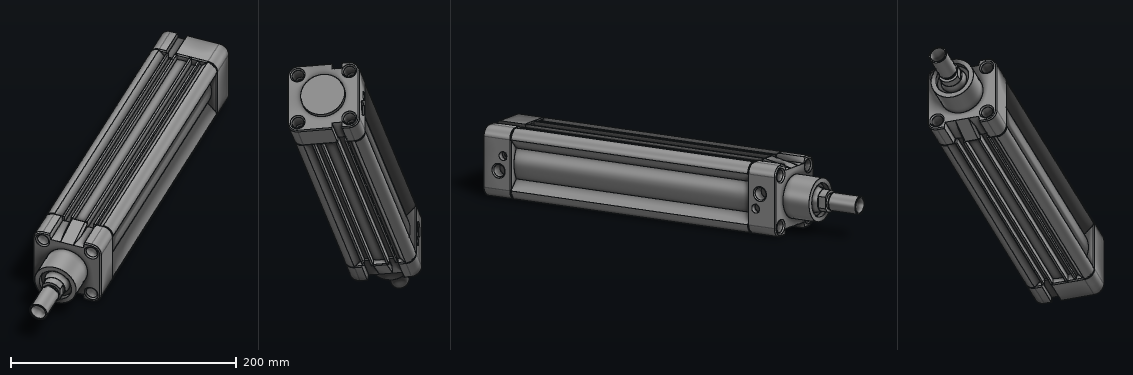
import cadquery as cq
import math


SIDE = 65.0
HALF = SIDE / 2
HOLE_SPACING = 46.5
HOLE_POS = HOLE_SPACING / 2
CORNER_R = HALF - HOLE_POS
BODY_LEN = 306.0
CAP_LEN = 29.0
CAP_CHAMFER = 1.0
TUBE_START = CAP_LEN
TUBE_END = BODY_LEN - CAP_LEN

BOSS_D = 39.7
BOSS_LEN = 27.2
BOSS_RECESS_D = 30.5
BOSS_RECESS_DEPTH = 5.0
COLLAR_LEN = 4.0
WIPER_BASE_D = 24.0
WIPER_TIP_D = 20.5
WIPER_STICK_OUT = 2.5

BARREL_R = 27.2
VALLEY_X = 17.8
VALLEY_Z = 27.0
LIP_X = 14.0
LIP_WIDTH = 2.0
LIP_FOOT_Z = 28.5
LIP_Z = 31.5
SLOT_FLOOR = 25.0
RIB_OUTER_X = 8.0
RIB_INNER_X = 6.0

RECESS_FLOOR = 27.0
RECESS_TOP_X = 16.5
RECESS_FLOOR_X = 15.5
RAMP_TOP_X = 6.0
RAMP_SIDE_X = 8.0
RAMP_EDGE_ANGLE = 35
REAR_BLOCK_X = 7.5

MOUNT_HOLE_D = 6.8
MOUNT_BORE_D = 10.5
MOUNT_MOUTH_D = 13.2
MOUNT_BORE_DEPTH = 15.0

PORT_D = 11.5
PORT_MOUTH_D = 13.5
PORT_DEPTH = 11.5
PORT_OFFSET = 16.3
PORT_Z = 6.5
SCREW_D = 8.0
SCREW_DEPTH = 5.5
SCREW_OFFSET = 20.8
SCREW_Z = 7.5
SCREW_SOCKET_D = 3.5
SCREW_SOCKET_DEPTH = 2.0

ROD_D = 20.0
ROD_STICK_OUT = 68.0
THREAD_D = 16.5
THREAD_LEN = 28.0
THREAD_BORE_D = 14.0
THREAD_BORE_DEPTH = 19.0
NECK_D = 14.7
NECK_LEN = 2.5
FLATS_WIDTH = 17.0
FLATS_LEN = 7.0


def xz_plane(y):
    """Section plane across the axis at y, facing -Y; sketches use X and Z."""
    return cq.Workplane(cq.Plane(origin=(0, y, 0), xDir=(1, 0, 0), normal=(0, -1, 0)))


def cylinder(diameter, y_start, y_end, x=0, z=0):
    return xz_plane(y_start).center(x, z).circle(diameter / 2).extrude(y_start - y_end)


def prism(points, y_start, y_end):
    return xz_plane(y_start).polyline(points).close().extrude(y_start - y_end)


def rounded_square(y_start, y_end):
    block = xz_plane(y_start).rect(SIDE, SIDE).extrude(y_start - y_end)
    return block.edges("|Y").fillet(CORNER_R)


def with_mirror(shape, plane):
    return shape.union(shape.mirror(plane))


def tube():
    """Extruded profile with a channel along every side."""
    slot = prism(
        [
            (HOLE_POS, HALF),
            (VALLEY_X, VALLEY_Z),
            (LIP_X + LIP_WIDTH, LIP_FOOT_Z),
            (LIP_X + LIP_WIDTH, LIP_Z),
            (LIP_X, LIP_Z),
            (LIP_X, SLOT_FLOOR),
            (RIB_OUTER_X, SLOT_FLOOR),
            (RIB_OUTER_X, HALF),
        ],
        TUBE_START,
        TUBE_END,
    )
    channel_depth = HALF - BARREL_R / 2
    barrel = cylinder(2 * BARREL_R, TUBE_START, TUBE_END)
    side_channel = prism(
        [
            (HALF, HOLE_POS),
            (HALF - channel_depth, HOLE_POS - channel_depth),
            (HALF - channel_depth, channel_depth - HOLE_POS),
            (HALF, -HOLE_POS),
        ],
        TUBE_START,
        TUBE_END,
    ).cut(barrel)
    middle_channel = prism(
        [
            (-RIB_INNER_X, HALF),
            (-RIB_INNER_X, HALF - channel_depth),
            (RIB_INNER_X, HALF - channel_depth),
            (RIB_INNER_X, HALF),
        ],
        TUBE_START,
        TUBE_END,
    ).cut(barrel)
    upper_channels = with_mirror(slot, "YZ").union(middle_channel)
    profile = rounded_square(TUBE_START, TUBE_END)
    profile = profile.cut(with_mirror(upper_channels, "XY"))
    return profile.cut(with_mirror(side_channel, "YZ"))


def cap(y_start):
    return rounded_square(y_start, y_start + CAP_LEN).faces("<Y or >Y").chamfer(CAP_CHAMFER)


def front_cap():
    """Cap with a recess above and below, each holding a wedge that rises towards the tube."""
    recess = prism(
        [
            (-RECESS_TOP_X, HALF),
            (-RECESS_FLOOR_X, RECESS_FLOOR),
            (RECESS_FLOOR_X, RECESS_FLOOR),
            (RECESS_TOP_X, HALF),
        ],
        0,
        CAP_LEN,
    )
    rise = HALF - RECESS_FLOOR
    ramp_profile = (
        cq.Workplane("YZ")
        .polyline([(0, RECESS_FLOOR), (CAP_LEN, RECESS_FLOOR), (CAP_LEN, HALF)])
        .close()
        .extrude(RAMP_SIDE_X, both=True)
    )
    ramp_plane = cq.Plane(origin=(0, 0, RECESS_FLOOR), xDir=(1, 0, 0), normal=(0, rise, -CAP_LEN))
    ramp_length = math.hypot(CAP_LEN, rise)
    bevelled_bar = (
        cq.Workplane(ramp_plane)
        .rect(2 * RAMP_TOP_X, 4 * ramp_length)
        .extrude(rise, taper=-RAMP_EDGE_ANGLE)
    )
    wedge = ramp_profile.intersect(bevelled_bar)
    recess = recess.cut(wedge)
    return cap(0).cut(with_mirror(recess, "XY"))


def rear_cap():
    """Cap with a notch beside the raised block, above and below."""
    notch = prism(
        [
            (-RECESS_TOP_X, HALF),
            (-RECESS_TOP_X, RECESS_FLOOR),
            (-REAR_BLOCK_X, RECESS_FLOOR),
            (-REAR_BLOCK_X, HALF),
        ],
        TUBE_END,
        BODY_LEN,
    )
    return cap(TUBE_END).cut(with_mirror(notch, "XY"))


def front_boss():
    """Guide boss with a recessed end and a wiper lip around the rod."""
    boss_end = -BOSS_LEN
    recess_floor = boss_end + BOSS_RECESS_DEPTH
    boss = cylinder(BOSS_D, boss_end, 0).cut(cylinder(BOSS_RECESS_D, boss_end, recess_floor))
    wiper = (
        xz_plane(recess_floor)
        .circle(WIPER_BASE_D / 2)
        .workplane(offset=BOSS_RECESS_DEPTH + WIPER_STICK_OUT)
        .circle(WIPER_TIP_D / 2)
        .loft()
    )
    return boss.union(wiper)


def cone(plane_start, large_d, small_d):
    """45-degree countersink from large_d to small_d, running against the plane normal."""
    depth = (large_d - small_d) / 2
    return plane_start.circle(large_d / 2).workplane(offset=-depth).circle(small_d / 2).loft()


def mount_holes():
    """Corner holes through the whole housing, widened and countersunk at both ends."""
    hole = cylinder(MOUNT_HOLE_D, 0, BODY_LEN, HOLE_POS, HOLE_POS)
    bore = cylinder(MOUNT_BORE_D, 0, MOUNT_BORE_DEPTH, HOLE_POS, HOLE_POS)
    mouth = cone(xz_plane(0).center(HOLE_POS, HOLE_POS), MOUNT_MOUTH_D, MOUNT_BORE_D)
    front_end = bore.union(mouth)
    rear_end = front_end.mirror("XZ", (0, BODY_LEN / 2, 0))
    upper_pair = with_mirror(hole.union(front_end).union(rear_end), "YZ")
    return with_mirror(upper_pair, "XY")


def left_plane(y, z):
    """Plane on the -X side, facing outwards."""
    return cq.Workplane(cq.Plane(origin=(-HALF, y, z), xDir=(0, -1, 0), normal=(-1, 0, 0)))


def side_hole(diameter, depth, y, z):
    """Blind hole into the -X side."""
    return left_plane(y, z).circle(diameter / 2).extrude(-depth)


def port(y, z):
    mouth = cone(left_plane(y, z), PORT_MOUTH_D, PORT_D)
    return side_hole(PORT_D, PORT_DEPTH, y, z).union(mouth)


def side_holes():
    """Port and cushioning screw of each cap, turned half round between the caps."""
    rear_screw_y = BODY_LEN - SCREW_OFFSET
    return (
        port(PORT_OFFSET, PORT_Z)
        .union(port(BODY_LEN - PORT_OFFSET, -PORT_Z))
        .union(side_hole(SCREW_D, SCREW_DEPTH, SCREW_OFFSET, -SCREW_Z))
        .union(side_hole(SCREW_D, SCREW_DEPTH, rear_screw_y, SCREW_Z))
        .union(side_hole(SCREW_SOCKET_D, SCREW_DEPTH + SCREW_SOCKET_DEPTH, rear_screw_y, SCREW_Z))
    )


def make_housing():
    collar = cylinder(BOSS_D, BODY_LEN, BODY_LEN + COLLAR_LEN)
    body = tube().union(front_cap()).union(rear_cap()).union(front_boss()).union(collar)
    rod_bore = cylinder(ROD_D, -BOSS_LEN - WIPER_STICK_OUT, TUBE_START)
    return body.cut(mount_holes()).cut(side_holes()).cut(rod_bore)


def make_rod():
    """Rod with wrench flats, a neck and a plain bored end in place of the thread."""
    tip = -ROD_STICK_OUT
    thread_end = tip + THREAD_LEN
    neck_end = thread_end + NECK_LEN
    flats_end = neck_end + FLATS_LEN
    shank = cylinder(ROD_D, flats_end, TUBE_START)
    flats = cylinder(ROD_D, neck_end, flats_end).intersect(
        xz_plane(neck_end).rect(FLATS_WIDTH, ROD_D).extrude(-FLATS_LEN)
    )
    neck = cylinder(NECK_D, thread_end, neck_end)
    thread = cylinder(THREAD_D, tip, thread_end)
    thread = thread.cut(cylinder(THREAD_BORE_D, tip, tip + THREAD_BORE_DEPTH))
    return shank.union(flats).union(neck).union(thread)


housing = make_housing()
rod = make_rod()

result = cq.Compound.makeCompound([housing.solids().val(), rod.solids().val()])